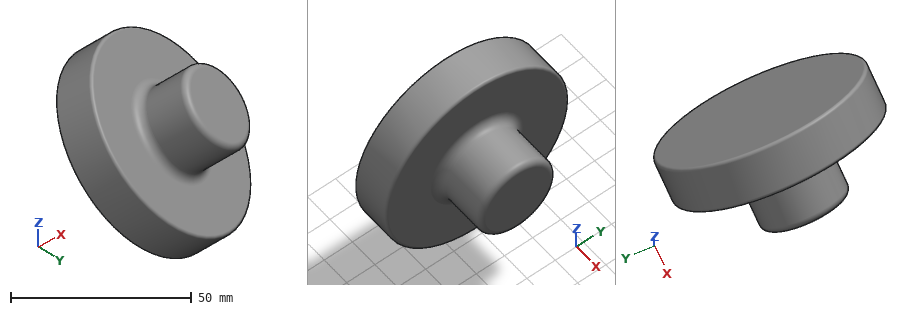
import cadquery as cq

disc_diameter = 65.0
disc_thickness = 14.0
disc_edge_radius = 1.0
hub_diameter = 27.0
total_length = 32.0
hub_root_radius = 3.0
hub_end_radius = 2.0

hub_length = total_length - disc_thickness


def make_disc():
    """Disc with both rims rounded, its front face at X = 0."""
    disc = cq.Workplane("YZ").circle(disc_diameter / 2).extrude(disc_thickness)
    return disc.edges("%CIRCLE").fillet(disc_edge_radius)


def make_hub():
    """Hub on the back of the disc, rounded at its free end."""
    hub = (
        cq.Workplane("YZ", origin=(disc_thickness, 0, 0))
        .circle(hub_diameter / 2)
        .extrude(hub_length)
    )
    return hub.faces(">X").edges().fillet(hub_end_radius)


def make_root_fillet():
    """Concave ring that blends the hub into the disc."""
    hub_radius = hub_diameter / 2
    outer_radius = hub_radius + hub_root_radius
    fillet_end = disc_thickness + hub_root_radius
    return (
        cq.Workplane("XY")
        .moveTo(disc_thickness, 0)
        .lineTo(disc_thickness, outer_radius)
        .radiusArc((fillet_end, hub_radius), -hub_root_radius)
        .lineTo(fillet_end, 0)
        .close()
        .revolve(360, (0, 0, 0), (1, 0, 0))
    )


result = make_disc().union(make_hub()).union(make_root_fillet())